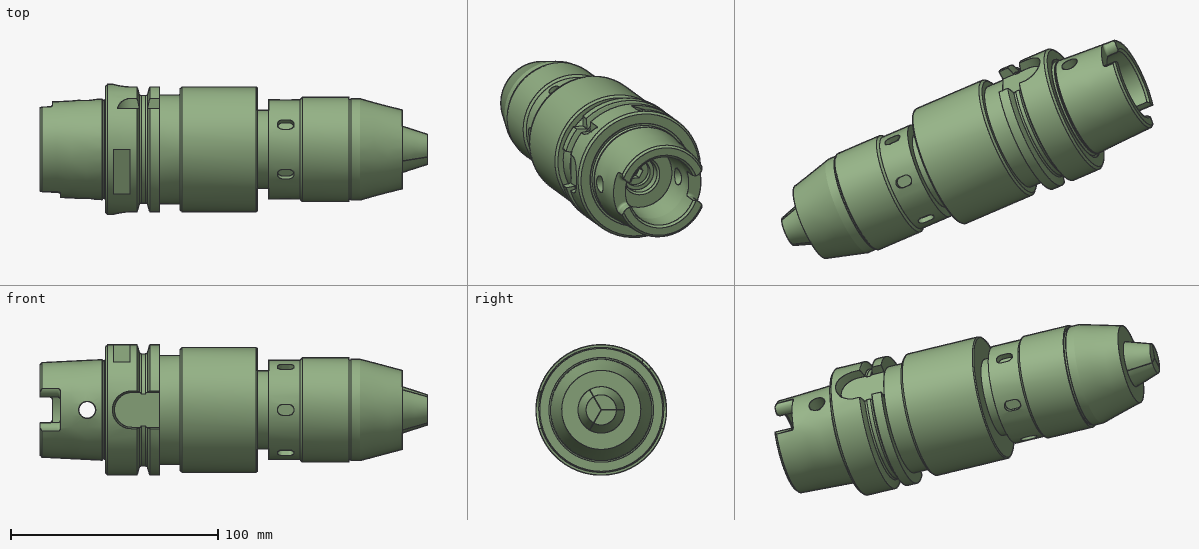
import cadquery as cq
import math


shank_tip_radius = 22.8
shank_taper = 1 / 20
shank_length = 30.0
tip_edge_chamfer = 1.03
undercut_radius = 23.7
undercut_slope = 0.5
undercut_width = 0.5
undercut_end_radius = 24.5
face_relief_radius = 25.6
face_relief_depth = 0.5

drive_half_width = 6.2
drive_corner_radius = 4.1
drive_corner_reach = 20.4
drive_floor_fillet = 1.3
drive_depths = {-1: 10.0, 1: 6.0}

cross_hole_x = 22.8
cross_hole_diameter = 8.0

bore_radius = 17.0
bore_mouth_chamfer = 1.1
bore_straight_depth = 13.3
bore_floor_radius = 15.7
bore_depth = 30.0
tapped_radius = 8.5
tapped_chamfer = 1.03
tapped_depth = 5.6
seat_radius = 6.5
seat_depth = 2.8
hex_across_flats = 6.7
hex_depth = 4.7

flange_radius = 63.0 / 2
flange_start = 31.6
flange_end = 57.8
flange_chamfer = 1.1
groove_radius = 27.1
groove_start = 46.8
groove_end = 53.1
groove_flank_width = 1.3
groove_lip = 0.7
groove_lip_slope = 0.4
groove_corner_rise = 0.4
groove_corner_width = 1.0

key_slot_half_width = 9.4
key_slot_floor = 26.0
key_slot_tip_x = 35.0
key_slot_draft = 10

notch_wall_y = 19.8
notch_floor_z = 19.6
notch_radius = 7.3
notch_center_x = 44.3

label_start = 35.5
label_end = 43.5
label_half_angle = 21.5

waist_radius = 26.4
barrel_start = 67.5
barrel_end = 105.0
barrel_radius = 60.4 / 2
barrel_rear_chamfer = 1.1
barrel_front_chamfer = 0.5
neck_radius = 38.0 / 2

chuck_start = 110.3
ring_end = 125.5
ring_radius = 48.0 / 2
sleeve_chamfer = 1.1
sleeve_radius = 25.2
sleeve_end = 149.0
nut_radius = 24.5
nut_groove_width = 1.0
nut_groove_depth = 0.4
cone_start = 154.5
chuck_end = 174.8
cone_end_radius = 19.0
neck_socket_depth = 7.5

wrench_slot_count = 6
wrench_slot_x = 118.5
wrench_slot_length = 8.0
wrench_slot_width = 5.2
wrench_slot_depth = 3.0

jaw_count = 3
jaw_base_radius = 11.2
jaw_tip_radius = 7.3
jaw_root_depth = 5.6
jaw_gap = 0.2
overall_length = 187.0


def revolved(points):
    """Solid of revolution about X from (x, radius) points that start and end on the axis.

    The seam is turned to the plain -Z side, clear of the slots on the Y sides.
    """
    solid = cq.Workplane("XY").polyline(points).close().revolve(360, (0, 0, 0), (1, 0, 0))
    return solid.rotate((0, 0, 0), (1, 0, 0), -90)


def holder_blank():
    taper_end_radius = shank_tip_radius + shank_taper * shank_length
    relief_x = flange_start + face_relief_depth
    groove_corner_radius = groove_radius + groove_corner_rise
    groove_shoulder = flange_radius - groove_lip
    return revolved([
        (0, 0),
        (0, shank_tip_radius - tip_edge_chamfer),
        (tip_edge_chamfer, shank_tip_radius + shank_taper * tip_edge_chamfer),
        (shank_length, taper_end_radius),
        (shank_length + undercut_slope, undercut_radius),
        (shank_length + undercut_slope + undercut_width, undercut_radius),
        (relief_x, undercut_end_radius),
        (relief_x, face_relief_radius),
        (flange_start, face_relief_radius),
        (flange_start, flange_radius - flange_chamfer),
        (flange_start + flange_chamfer, flange_radius),
        (groove_start, flange_radius),
        (groove_start + groove_lip_slope, groove_shoulder),
        (groove_start + groove_flank_width, groove_corner_radius),
        (groove_start + groove_flank_width + groove_corner_width, groove_radius),
        (groove_end - groove_flank_width - groove_corner_width, groove_radius),
        (groove_end - groove_flank_width, groove_corner_radius),
        (groove_end - groove_lip_slope, groove_shoulder),
        (groove_end, flange_radius),
        (flange_end, flange_radius),
        (flange_end, waist_radius),
        (barrel_start, waist_radius),
        (barrel_start, barrel_radius - barrel_rear_chamfer),
        (barrel_start + barrel_rear_chamfer, barrel_radius),
        (barrel_end - barrel_front_chamfer, barrel_radius),
        (barrel_end, barrel_radius - barrel_front_chamfer),
        (barrel_end, neck_radius),
        (chuck_start + neck_socket_depth, neck_radius),
        (chuck_start + neck_socket_depth, 0),
    ])


def shank_bore():
    """Stepped bore with a hexagon socket at its bottom."""
    seat_x = bore_depth + tapped_depth
    socket_x = seat_x + seat_depth
    bore = revolved([
        (0, 0),
        (0, bore_radius + bore_mouth_chamfer),
        (bore_mouth_chamfer, bore_radius),
        (bore_straight_depth, bore_radius),
        (bore_depth, bore_floor_radius),
        (bore_depth, tapped_radius + tapped_chamfer),
        (bore_depth + tapped_chamfer, tapped_radius),
        (seat_x, tapped_radius),
        (seat_x, seat_radius),
        (socket_x, seat_radius),
        (socket_x, 0),
    ])
    hex_corner_diameter = hex_across_flats / math.cos(math.pi / 6)
    socket = cq.Workplane("YZ", origin=(socket_x, 0, 0)).polygon(6, hex_corner_diameter).extrude(hex_depth)
    return bore.union(socket)


def drive_slot(side, depth):
    """Slot across the shank wall, flaring out with round corners; side is the sign of Y."""
    flare = drive_half_width + drive_corner_radius
    corner_start = drive_corner_reach - drive_corner_radius
    bend = drive_corner_radius * math.sqrt(0.5)
    bend_y = corner_start + bend
    bend_z = flare - bend
    outer_y = flange_radius
    slot = (
        cq.Workplane("YZ")
        .moveTo(0, -drive_half_width)
        .lineTo(side * corner_start, -drive_half_width)
        .threePointArc((side * bend_y, -bend_z), (side * drive_corner_reach, -flare))
        .lineTo(side * outer_y, -flare)
        .lineTo(side * outer_y, flare)
        .lineTo(side * drive_corner_reach, flare)
        .threePointArc((side * bend_y, bend_z), (side * corner_start, drive_half_width))
        .lineTo(0, drive_half_width)
        .close()
        .extrude(depth)
    )
    return slot.faces(">X").edges("not |Z").fillet(drive_floor_fillet)


def cross_hole():
    return (
        cq.Workplane("XZ", origin=(cross_hole_x, 0, 0))
        .circle(cross_hole_diameter / 2)
        .extrude(flange_radius, both=True)
    )


def key_slot(side):
    """Round-ended slot through the flange edge, narrowing towards its flat floor."""
    depth = flange_radius - key_slot_floor
    center_x = key_slot_tip_x + key_slot_half_width
    center_to_center = 2 * (flange_end - center_x)
    slot = (
        cq.Workplane("XZ", origin=(flange_end, -flange_radius, 0))
        .slot2D(center_to_center + 2 * key_slot_half_width, 2 * key_slot_half_width)
        .extrude(-depth, taper=key_slot_draft)
    )
    past_flange = (
        cq.Workplane("XY")
        .box(flange_radius, 3 * flange_radius, 2 * flange_radius, centered=(False, True, True))
        .translate((flange_end, 0, 0))
    )
    slot = slot.cut(past_flange)
    return slot if side < 0 else slot.mirror("XZ")


def corner_notch():
    """Notch in the upper +Y part of the flange with a round end."""
    notch_top = notch_floor_z + 2 * notch_radius
    center_z = notch_floor_z + notch_radius
    return (
        cq.Workplane("XZ", origin=(0, notch_wall_y, 0))
        .moveTo(flange_end, notch_floor_z)
        .lineTo(notch_center_x, notch_floor_z)
        .threePointArc((notch_center_x - notch_radius, center_z), (notch_center_x, notch_top))
        .lineTo(flange_end, notch_top)
        .close()
        .extrude(-flange_radius)
    )


def label_flat():
    """Flat on the flange rim, tilted from +Z towards -Y."""
    flat_radius = flange_radius * math.cos(math.radians(label_half_angle))
    flat = (
        cq.Workplane("XY")
        .box(label_end - label_start, 2 * flange_radius, flange_radius, centered=(False, True, False))
        .translate((label_start, 0, flat_radius))
    )
    return flat.rotate((0, 0, 0), (1, 0, 0), label_half_angle)


def build_holder():
    holder = holder_blank().cut(shank_bore()).cut(cross_hole())
    for side, depth in drive_depths.items():
        holder = holder.cut(drive_slot(side, depth)).cut(key_slot(side))
    return holder.cut(corner_notch()).cut(label_flat())


def wrench_slot(angle):
    """Flat-bottomed oblong pocket in the chuck ring, turned about X from the -Y side."""
    pocket = (
        cq.Workplane("XZ", origin=(wrench_slot_x, wrench_slot_depth - ring_radius, 0))
        .slot2D(wrench_slot_length, wrench_slot_width)
        .extrude(ring_radius)
    )
    return pocket.rotate((0, 0, 0), (1, 0, 0), angle)


def build_chuck():
    chuck = revolved([
        (chuck_start, 0),
        (chuck_start, ring_radius),
        (ring_end, ring_radius),
        (ring_end + sleeve_chamfer, sleeve_radius),
        (sleeve_end, sleeve_radius),
        (sleeve_end, nut_radius - nut_groove_depth),
        (sleeve_end + nut_groove_width, nut_radius - nut_groove_depth),
        (sleeve_end + nut_groove_width, nut_radius),
        (cone_start, nut_radius),
        (chuck_end, cone_end_radius),
        (chuck_end, 0),
    ])
    neck_socket = cq.Workplane("YZ", origin=(chuck_start, 0, 0)).circle(neck_radius).extrude(neck_socket_depth)
    jaw_socket = cq.Workplane("YZ", origin=(chuck_end, 0, 0)).circle(jaw_base_radius).extrude(-jaw_root_depth)
    chuck = chuck.cut(neck_socket).cut(jaw_socket)
    for index in range(wrench_slot_count):
        chuck = chuck.cut(wrench_slot(index * 360 / wrench_slot_count))
    return chuck


def build_jaws():
    """Conical nose on a round root, split by three radial gaps into jaws."""
    jaws = revolved([
        (chuck_end - jaw_root_depth, 0),
        (chuck_end - jaw_root_depth, jaw_base_radius),
        (chuck_end, jaw_base_radius),
        (overall_length, jaw_tip_radius),
        (overall_length, 0),
    ])
    gap = (
        cq.Workplane("XY")
        .box(overall_length - chuck_end, 2 * jaw_base_radius, jaw_gap, centered=(False, False, True))
        .translate((chuck_end, 0, 0))
    )
    for index in range(jaw_count):
        jaws = jaws.cut(gap.rotate((0, 0, 0), (1, 0, 0), index * 360 / jaw_count))
    return jaws


holder = build_holder()
chuck = build_chuck()
jaws = build_jaws()
result = cq.Compound.makeCompound([body.solids().val() for body in (holder, chuck, jaws)])